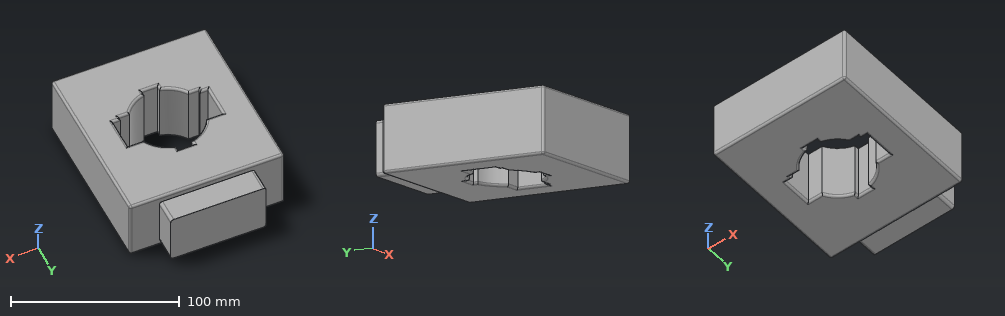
import cadquery as cq
import math

total_length = 127.0
tab_length = 15.9
body_width = 101.0
body_length = total_length - tab_length
body_height = 42.0
edge_radius = 1.5

tab_width = 62.2
tab_height = 34.3
tab_top_gap = 4.6
tab_edge_radius = 2.0

bore_radius = 23.0
wide_slot_half_width = 31.0
wide_slot_half_height = 10.5
step_half_width = 26.0
step_depth = 12.6
notch_half_width = 5.1
notch_half_height = 25.5


def bore_offset(distance):
    """Other coordinate of the bore point lying at the given distance from an axis."""
    return math.sqrt(bore_radius**2 - distance**2)


def arc_middle(start, end):
    """Bore point halfway round between two bore points."""
    angle = math.atan2(start[1] + end[1], start[0] + end[0])
    return (bore_radius * math.cos(angle), bore_radius * math.sin(angle))


def make_body():
    block = cq.Workplane("XY").box(body_width, body_length, body_height)
    return block.edges().fillet(edge_radius)


def make_tab():
    overlap = 2 * edge_radius
    center_y = body_length / 2 + (tab_length - overlap) / 2
    center_z = body_height / 2 - tab_top_gap - tab_height / 2
    tab = cq.Workplane("XY").box(tab_width, tab_length + overlap, tab_height)
    return tab.edges("|Y").fillet(tab_edge_radius).translate((0, center_y, center_z))


def make_window():
    """Window cutter: bore, top and bottom notches, and a side slot with stepped lower corners."""
    notch_y = bore_offset(notch_half_width)
    right_top = (notch_half_width, notch_y)
    right_upper = (bore_offset(wide_slot_half_height), wide_slot_half_height)
    right_lower = (bore_offset(step_depth), -step_depth)
    right_bottom = (notch_half_width, -notch_y)
    left_top, left_upper, left_lower, left_bottom = [
        (-x, y) for x, y in (right_top, right_upper, right_lower, right_bottom)
    ]
    outline = (
        cq.Workplane("XY", origin=(0, 0, -body_height / 2))
        .moveTo(-notch_half_width, notch_half_height)
        .lineTo(notch_half_width, notch_half_height)
        .lineTo(*right_top)
        .threePointArc(arc_middle(right_top, right_upper), right_upper)
        .lineTo(wide_slot_half_width, wide_slot_half_height)
        .lineTo(wide_slot_half_width, -wide_slot_half_height)
        .lineTo(step_half_width, -wide_slot_half_height)
        .lineTo(step_half_width, -step_depth)
        .lineTo(*right_lower)
        .threePointArc(arc_middle(right_lower, right_bottom), right_bottom)
        .lineTo(notch_half_width, -notch_half_height)
        .lineTo(-notch_half_width, -notch_half_height)
        .lineTo(*left_bottom)
        .threePointArc(arc_middle(left_bottom, left_lower), left_lower)
        .lineTo(-step_half_width, -step_depth)
        .lineTo(-step_half_width, -wide_slot_half_height)
        .lineTo(-wide_slot_half_width, -wide_slot_half_height)
        .lineTo(-wide_slot_half_width, wide_slot_half_height)
        .lineTo(*left_upper)
        .threePointArc(arc_middle(left_upper, left_top), left_top)
        .close()
    )
    return outline.extrude(body_height)


def round_window_rims(part):
    """Round the window edges on the top and bottom faces."""
    rim_area = cq.selectors.BoxSelector(
        (-wide_slot_half_width - edge_radius, -notch_half_height - edge_radius, -body_height),
        (wide_slot_half_width + edge_radius, notch_half_height + edge_radius, body_height),
    )
    return part.faces("<Z or >Z").edges(rim_area).fillet(edge_radius)


result = round_window_rims(make_body().cut(make_window())).union(make_tab())